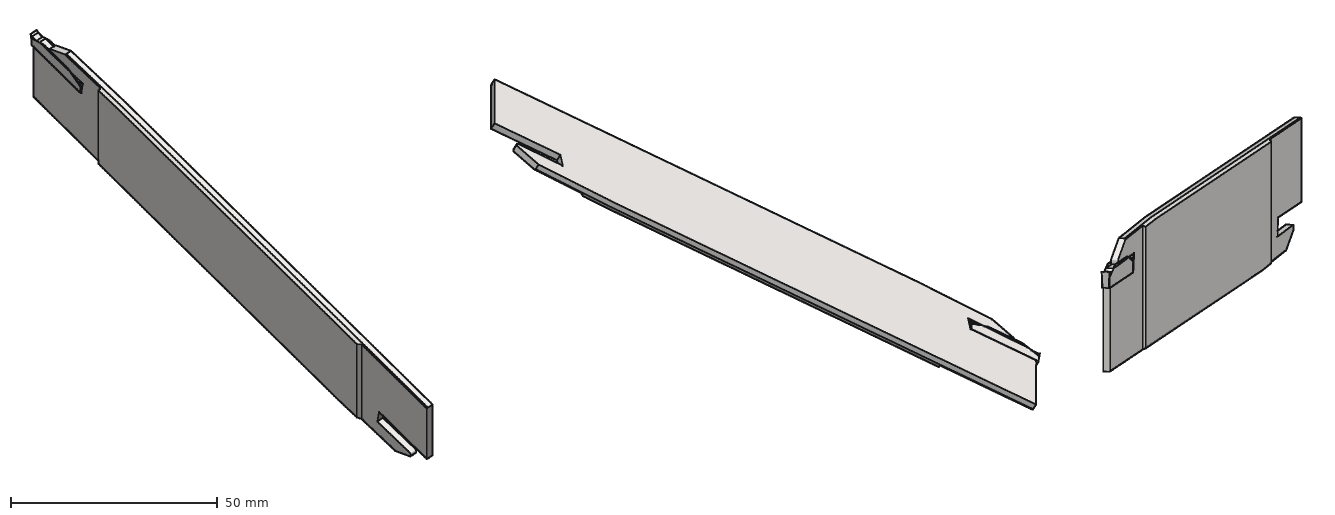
import cadquery as cq


blade_length = 150.0
blade_height = 31.36
end_x = blade_length / 2
top_z = blade_height / 2
blade_back_y = -0.1
blade_front_y = -1.9

pad_face_y = -2.59
pad_left_x = -49.4
pad_right_x = 49.2
pad_ramp_length = 0.9

bevel_depth = 1.0
bevel_drop = 0.45

taper_start_x = -42.0
shoulder_x = -62.8
shoulder_z = 14.8
jaw_tip_x = -68.8
jaw_tip_z = 10.8
jaw_tip_radius = 0.5

seat_floor_z = 5.24
seat_roof_inner_z = 9.85
seat_roof_tip_z = 9.48
seat_wall_floor_x = -56.75
seat_wall_roof_x = -56.1

insert_width = 2.0
insert_overhang = 1.0
insert_front_x = -end_x - insert_overhang
insert_length = seat_wall_floor_x - insert_front_x
insert_center_x = insert_front_x + insert_length / 2
insert_back_y = 0.0
insert_center_y = insert_back_y - insert_width / 2
insert_top_z = 10.2
end_relief = 0.3
body_half_length = insert_length / 2 - end_relief
flat_half_length = 4.75
ramp_end_z = 7.9

head_length = 3.6
edge_z = 9.3
edge_land = 0.6
hollow_z = 8.9
head_root_width = 1.5


def extrude_profile(points, front_y, back_y):
    """Extrude a closed XZ outline from back_y to front_y."""
    profile = cq.Workplane("XZ", origin=(0, back_y, 0)).polyline(points).close()
    return profile.extrude(back_y - front_y)


def make_outline():
    """Corner points of the blade, from the left end around to the right end."""
    left_end = [
        (-end_x, -top_z),
        (-end_x, seat_floor_z),
        (seat_wall_floor_x, seat_floor_z),
        (seat_wall_roof_x, seat_roof_inner_z),
        (jaw_tip_x, seat_roof_tip_z),
        (jaw_tip_x, jaw_tip_z),
        (shoulder_x, shoulder_z),
        (taper_start_x, top_z),
    ]
    right_end = [(-x, -z) for x, z in left_end]
    return left_end + right_end


def make_pad():
    """Raised pad with a ramp at its right end, trimmed to the blade outline."""
    section = [
        (pad_left_x, blade_front_y),
        (pad_left_x, pad_face_y),
        (pad_right_x, pad_face_y),
        (pad_right_x + pad_ramp_length, blade_front_y),
    ]
    pad = cq.Workplane("XY", origin=(0, 0, -top_z)).polyline(section).close().extrude(blade_height)
    return pad.intersect(extrude_profile(make_outline(), pad_face_y, blade_back_y))


def make_bevel_wedge(start, end):
    """Wedge that bevels the front of the top edge between two XZ points."""
    x, z = start
    direction = cq.Vector(end[0] - x, 0, end[1] - z)
    section = cq.Wire.makePolygon(
        [
            cq.Vector(x, pad_face_y, z - bevel_drop),
            cq.Vector(x, pad_face_y, z),
            cq.Vector(x, pad_face_y + bevel_depth, z),
        ],
        close=True,
    )
    return cq.Solid.extrudeLinear(section, [], direction)


def make_blade():
    blade = extrude_profile(make_outline(), blade_front_y, blade_back_y)
    for side in (-1, 1):
        for tip_z in (seat_roof_tip_z, jaw_tip_z):
            tip = cq.selectors.NearestToPointSelector(
                (side * -jaw_tip_x, (blade_back_y + blade_front_y) / 2, -side * tip_z)
            )
            blade = blade.edges(tip).fillet(jaw_tip_radius)
    blade = blade.union(make_pad())
    corner = (end_x, top_z)
    taper_start = (taper_start_x, top_z)
    shoulder = (shoulder_x, shoulder_z)
    for start, end in ((corner, taper_start), (taper_start, shoulder)):
        wedge = make_bevel_wedge(start, end)
        blade = blade.cut(wedge)
        blade = blade.cut(wedge.rotate(cq.Vector(0, 0, 0), cq.Vector(0, 1, 0), 180))
    return blade


def make_insert_body():
    """Full-width body, ramped down at both ends."""
    profile = [
        (insert_center_x - body_half_length, seat_floor_z),
        (insert_center_x - body_half_length, ramp_end_z),
        (insert_center_x - flat_half_length, insert_top_z),
        (insert_center_x + flat_half_length, insert_top_z),
        (insert_center_x + body_half_length, ramp_end_z),
        (insert_center_x + body_half_length, seat_floor_z),
    ]
    return extrude_profile(profile, insert_back_y - insert_width, insert_back_y)


def make_left_head():
    """Cutting head whose sides and end lean inwards below the cutting edge."""
    root_x = insert_front_x + head_length
    profile = [
        (insert_front_x + end_relief, seat_floor_z),
        (insert_front_x, edge_z),
        (insert_front_x + edge_land, hollow_z),
        (root_x, hollow_z),
        (root_x, seat_floor_z),
    ]
    section = [
        (insert_center_y - head_root_width / 2, seat_floor_z),
        (insert_center_y + head_root_width / 2, seat_floor_z),
        (insert_center_y + insert_width / 2, edge_z),
        (insert_center_y - insert_width / 2, edge_z),
    ]
    side_relief = (
        cq.Workplane("YZ", origin=(insert_front_x, 0, 0)).polyline(section).close().extrude(head_length)
    )
    return extrude_profile(profile, insert_back_y - insert_width, insert_back_y).intersect(side_relief)


def make_insert():
    """Join the body and both heads, with a groove in the top that straddles the jaw."""
    left_head = make_left_head()
    right_head = left_head.mirror("YZ", basePointVector=(insert_center_x, 0, 0))
    insert = make_insert_body().union(left_head).union(right_head)
    groove = [
        (insert_front_x, seat_roof_tip_z),
        (jaw_tip_x, seat_roof_tip_z),
        (seat_wall_roof_x, seat_roof_inner_z),
        (seat_wall_roof_x, insert_top_z),
        (insert_front_x, insert_top_z),
    ]
    return insert.cut(extrude_profile(groove, blade_front_y, blade_back_y))


blade = make_blade()
insert = make_insert()
result = cq.Compound.makeCompound([blade.val(), insert.val()])